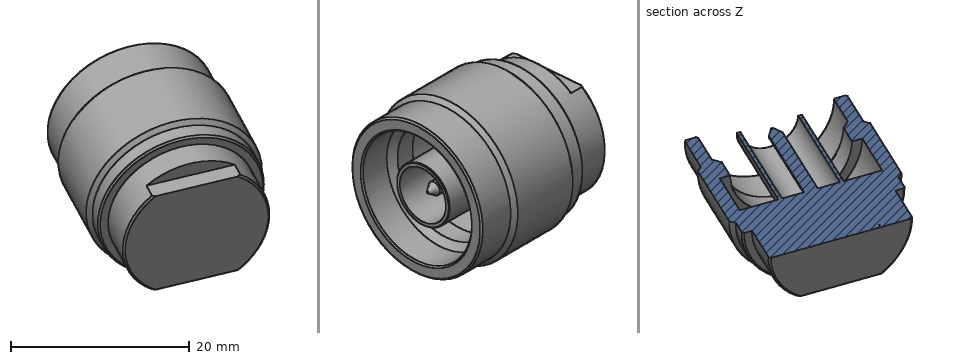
import cadquery as cq

total_length = 22.0
edge_chamfer = 0.22

nut_radius = 9.92
nut_length = 16.98
collar_diameter = 21.0
collar_radius = collar_diameter / 2
collar_front = 4.85
collar_front_bevel = 0.55
collar_rear = 15.03
collar_rear_bevel = 0.48

body_radius = 8.75
flat_height = 7.0
flat_start = 20.0

mouth_radius = 8.45
bore_radius = 8.25
bore_depth = 4.14
inner_bore_radius = 7.4
inner_bore_depth = 7.48
undercut_radius = 8.65
socket_depth = 13.2

sleeve_radius = 4.0
sleeve_bore_radius = 3.5
sleeve_front = 1.1
sleeve_chamfer = 0.09
pin_radius = 0.85
pin_front = 1.9
pin_cone_length = 1.1
pin_tip_radius = 0.13


def revolve_profile(points):
    """Revolve a closed (x, radius) outline a full turn about the X axis."""
    return cq.Workplane("XY").polyline(points).close().revolve(360, (0, 0, 0), (1, 0, 0))


def make_outer_body():
    return revolve_profile([
        (0, 0),
        (0, nut_radius - edge_chamfer),
        (edge_chamfer, nut_radius),
        (collar_front, nut_radius),
        (collar_front + collar_front_bevel, collar_radius),
        (collar_rear - collar_rear_bevel, collar_radius),
        (collar_rear, nut_radius),
        (nut_length - edge_chamfer, nut_radius),
        (nut_length, nut_radius - edge_chamfer),
        (nut_length, body_radius),
        (total_length - edge_chamfer, body_radius),
        (total_length, body_radius - edge_chamfer),
        (total_length, 0),
    ])


def make_socket():
    mouth_chamfer = mouth_radius - bore_radius
    cone_length = bore_radius - inner_bore_radius
    return revolve_profile([
        (0, 0),
        (0, mouth_radius),
        (mouth_chamfer, bore_radius),
        (bore_depth, bore_radius),
        (bore_depth + cone_length, inner_bore_radius),
        (inner_bore_depth, inner_bore_radius),
        (inner_bore_depth, undercut_radius),
        (socket_depth, undercut_radius),
        (socket_depth, 0),
    ])


def make_sleeve():
    return revolve_profile([
        (sleeve_front, sleeve_bore_radius),
        (sleeve_front, sleeve_radius - sleeve_chamfer),
        (sleeve_front + sleeve_chamfer, sleeve_radius),
        (nut_length, sleeve_radius),
        (nut_length, sleeve_bore_radius),
    ])


def make_pin():
    return revolve_profile([
        (pin_front, 0),
        (pin_front, pin_tip_radius),
        (pin_front + pin_cone_length, pin_radius),
        (nut_length, pin_radius),
        (nut_length, 0),
    ])


def make_flat_cutter(side):
    """Block removing the body beyond one flat; side is +1 (top) or -1 (bottom)."""
    flat_length = total_length - flat_start
    block_height = body_radius - flat_height + edge_chamfer
    return (
        cq.Workplane("XY")
        .box(flat_length, 2 * body_radius, block_height)
        .translate((flat_start + flat_length / 2, 0, side * (flat_height + block_height / 2)))
    )


result = make_outer_body().cut(make_socket())
result = result.union(make_sleeve()).union(make_pin())
for side in (1, -1):
    result = result.cut(make_flat_cutter(side))